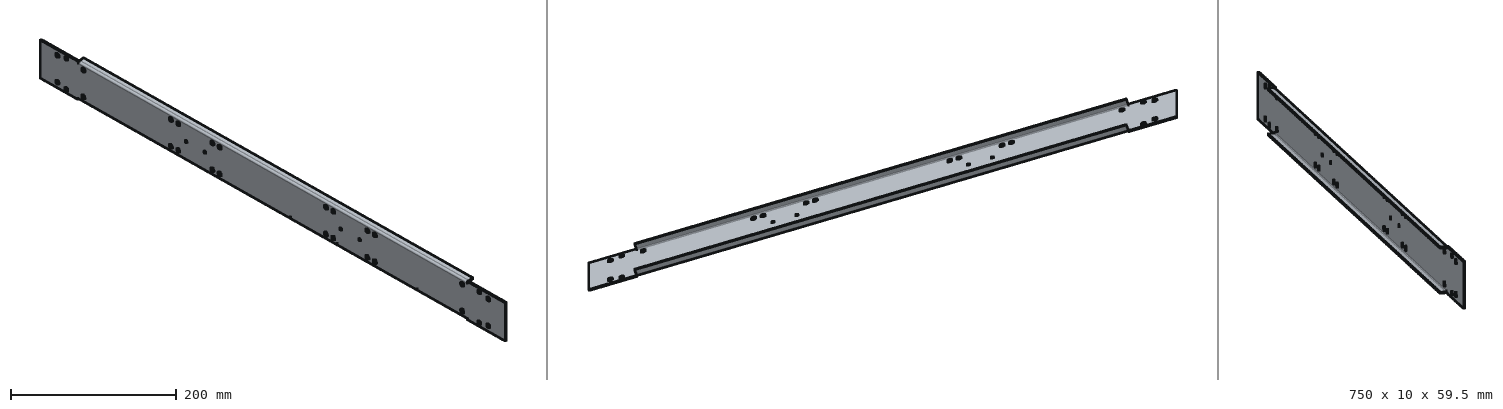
import cadquery as cq

LENGTH = 750.0
HEIGHT = 59.5
DEPTH = 10.0
THICKNESS = 2.0
FLANGE_LENGTH = 627.6
END_LENGTH = (LENGTH - FLANGE_LENGTH) / 2
OUTER_BEND_RADIUS = 3.0
INNER_BEND_RADIUS = OUTER_BEND_RADIUS - THICKNESS

FIXING_DIAMETER = 6.0
FIXING_ROW_SPACING = 41.75
FIXING_OFFSETS = (85.75, 164.5, 305.5, 347.5)

LINK_DIAMETER = 5.8
LINK_ROW_SPACING = 41.5
LINK_OFFSETS = (97.5, 152.5)

END_DIAMETER = 5.5
END_ROW_SPACING = 48.0
END_OFFSETS = (333.0,)

CENTRE_DIAMETER = 3.5
CENTRE_OFFSETS = (109.5, 140.0)
CENTRE_ROW = (0.0,)


def bent_block(height, bend_radius):
    """Flange-length block with its two long edges on the -Y side rounded."""
    return (
        cq.Workplane("XY")
        .box(FLANGE_LENGTH, DEPTH, height, centered=(True, False, True))
        .edges("|X and <Y")
        .fillet(bend_radius)
    )


def make_channel():
    """Channel section, open towards +Y, with rounded bends."""
    outer = bent_block(HEIGHT, OUTER_BEND_RADIUS)
    hollow = bent_block(HEIGHT - 2 * THICKNESS, INNER_BEND_RADIUS)
    return outer.cut(hollow.translate((0, THICKNESS, 0)))


def make_end_plate(side):
    """Flat full-height end of the web; side is -1 or +1 along X."""
    plate = cq.Workplane("XY").box(END_LENGTH, THICKNESS, HEIGHT, centered=(True, False, True))
    return plate.translate((side * (LENGTH - END_LENGTH) / 2, 0, 0))


def paired_rows(spacing):
    """Heights of two rows placed evenly about the centreline."""
    return (-spacing / 2, spacing / 2)


def drill(body, offsets, row_heights, diameter):
    """Cut round holes through the web at each offset, side and row."""
    centres = [(side * x, z) for x in offsets for side in (-1, 1) for z in row_heights]
    cutters = (
        cq.Workplane("XZ", origin=(0, THICKNESS, 0))
        .pushPoints(centres)
        .circle(diameter / 2)
        .extrude(THICKNESS)
    )
    return body.cut(cutters)


rail = make_channel().union(make_end_plate(-1)).union(make_end_plate(1))
rail = drill(rail, FIXING_OFFSETS, paired_rows(FIXING_ROW_SPACING), FIXING_DIAMETER)
rail = drill(rail, LINK_OFFSETS, paired_rows(LINK_ROW_SPACING), LINK_DIAMETER)
rail = drill(rail, END_OFFSETS, paired_rows(END_ROW_SPACING), END_DIAMETER)
rail = drill(rail, CENTRE_OFFSETS, CENTRE_ROW, CENTRE_DIAMETER)

result = rail